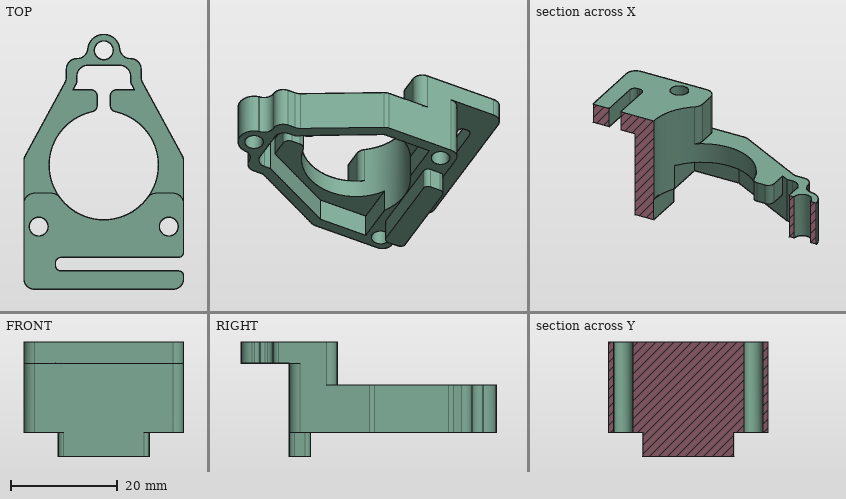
import cadquery as cq
import math

width = 29.95
length = 47.75
half_width = width / 2
corner_radius = 2.0
small_radius = 1.0

tab_height = 4.5
clamp_height = 9.0
neck_height = 4.0
plate_height = 4.0
clamp_bottom = tab_height
clamp_top = clamp_bottom + clamp_height
plate_bottom = clamp_top + neck_height

body_front = 9.0
tab_depth = 4.0
plate_back = 18.0
slant_front = 24.55
slant_back = 39.2
shoulder_y = 43.25

bore_radius = 10.2
bore_y = 23.25
ring_radius = 3.0
ring_y = length - ring_radius
shoulder_half_width = 7.0
hole_diameter = 3.5
gap_width = 2.4
lip_radius = 1.25
pocket_front = 37.4
pocket_back = 41.95
wall = 2.0
web_thickness = 4.0
cavity_front = 14.5

tab_width = 17.1
mount_hole_x = 12.2
mount_hole_y = 11.75
slot_left = -9.05
slot_front = 3.5
slot_width = 2.5


def box(x_min, x_max, y_min, y_max, z_min, height):
    """Box given by its X and Y limits, its bottom and its height."""
    return (
        cq.Workplane("XY", origin=(0, 0, z_min))
        .moveTo((x_min + x_max) / 2, (y_min + y_max) / 2)
        .rect(x_max - x_min, y_max - y_min)
        .extrude(height)
    )


def cylinder(x, y, radius, z_min, height):
    return cq.Workplane("XY", origin=(x, y, z_min)).circle(radius).extrude(height)


def round_edges(solid, points, radius):
    """Fillet the vertical edges that pass through the given XY points."""
    tolerance = 0.025
    bounds = solid.val().BoundingBox()
    edges = cq.Workplane("XY")
    for x, y in points:
        around_point = cq.selectors.BoxSelector(
            (x - tolerance, y - tolerance, bounds.zmin),
            (x + tolerance, y + tolerance, bounds.zmax),
        )
        edges = edges.add(solid.edges("|Z").edges(around_point))
    return solid.newObject(edges.vals()).fillet(radius)


def both_sides(x, y):
    return [(-x, y), (x, y)]


def bore_half_chord(y):
    """Half width of the bore at a given Y."""
    return math.sqrt(bore_radius**2 - (y - bore_y) ** 2)


def make_cavity():
    """Hollow that follows the clamp outline at a constant wall thickness."""
    slant_angle = math.atan2(half_width - shoulder_half_width, slant_back - slant_front)
    corner_shift = wall * math.tan(slant_angle / 2)
    cavity_half_width = half_width - wall
    back_half_width = shoulder_half_width - wall
    cavity = (
        cq.Workplane("XY", origin=(0, 0, clamp_bottom))
        .polyline([
            (-cavity_half_width, cavity_front),
            (cavity_half_width, cavity_front),
            (cavity_half_width, slant_front - corner_shift),
            (back_half_width, slant_back - corner_shift),
            (back_half_width, pocket_back),
            (-back_half_width, pocket_back),
            (-back_half_width, slant_back - corner_shift),
            (-cavity_half_width, slant_front - corner_shift),
        ])
        .close()
        .extrude(clamp_height)
    )
    cavity = round_edges(cavity, both_sides(back_half_width, pocket_back), corner_radius)

    web_bottom = clamp_top - web_thickness
    web = box(-half_width, half_width, cavity_front, pocket_front, web_bottom, web_thickness)
    return cavity.cut(web)


def make_clamp():
    """Tapered clamp body with an eyelet ring, a bore and a gap."""
    body = (
        cq.Workplane("XY", origin=(0, 0, clamp_bottom))
        .polyline([
            (-half_width, body_front),
            (half_width, body_front),
            (half_width, slant_front),
            (shoulder_half_width, slant_back),
            (shoulder_half_width, shoulder_y),
            (-shoulder_half_width, shoulder_y),
            (-shoulder_half_width, slant_back),
            (-half_width, slant_front),
        ])
        .close()
        .extrude(clamp_height)
    )
    rounded_corners = (
        both_sides(half_width, body_front)
        + both_sides(half_width, slant_front)
        + both_sides(shoulder_half_width, slant_back)
        + both_sides(shoulder_half_width, shoulder_y)
    )
    body = round_edges(body, rounded_corners, corner_radius)

    blend_y = shoulder_y + corner_radius
    blend_reach = ring_radius + corner_radius
    blend_x = math.sqrt(blend_reach**2 - (blend_y - ring_y) ** 2)
    shoulder = box(-blend_x, blend_x, pocket_back, blend_y, clamp_bottom, clamp_height)
    for side in (-1, 1):
        shoulder = shoulder.cut(cylinder(side * blend_x, blend_y, corner_radius, clamp_bottom, clamp_height))
    ring = cylinder(0, ring_y, ring_radius, clamp_bottom, clamp_height)
    body = body.union(shoulder).union(ring)

    half_gap = gap_width / 2
    gap = box(-half_gap, half_gap, bore_y, pocket_front, clamp_bottom, clamp_height)
    bore = cylinder(0, bore_y, bore_radius, clamp_bottom, clamp_height)
    body = body.cut(bore).cut(gap).cut(make_cavity())
    lip_y = bore_y + math.sqrt(bore_radius**2 - half_gap**2)
    lip_corners = both_sides(half_gap, lip_y) + both_sides(half_gap, pocket_front)
    body = round_edges(body, lip_corners, lip_radius)
    return body.cut(cylinder(0, ring_y, hole_diameter / 2, clamp_bottom, clamp_height))


def make_saddle(y_front, z_min, height):
    """Full-width block ending in the bore, with rounded corners."""
    saddle = box(-half_width, half_width, y_front, plate_back, z_min, height)
    saddle = saddle.cut(cylinder(0, bore_y, bore_radius, z_min, height))
    rounded_corners = (
        both_sides(half_width, y_front)
        + both_sides(half_width, plate_back)
        + both_sides(bore_half_chord(plate_back), plate_back)
    )
    return round_edges(saddle, rounded_corners, corner_radius)


def make_plate():
    """Top plate with a strap slot open on the +X side."""
    plate = make_saddle(0, plate_bottom, plate_height)
    slot_back = slot_front + slot_width
    slot = box(slot_left, half_width, slot_front, slot_back, plate_bottom, plate_height)
    plate = plate.cut(slot)
    slot_corners = [(x, y) for x in (slot_left, half_width) for y in (slot_front, slot_back)]
    return round_edges(plate, slot_corners, small_radius)


def make_tab():
    """Locating tab below the clamp."""
    tab = box(-tab_width / 2, tab_width / 2, body_front, body_front + tab_depth, 0, tab_height)
    return tab.edges("|Z").fillet(small_radius)


neck = make_saddle(body_front, clamp_top, neck_height)
result = make_clamp().union(neck).union(make_plate()).union(make_tab())

total_height = plate_bottom + plate_height
for hole_x in (-mount_hole_x, mount_hole_x):
    result = result.cut(cylinder(hole_x, mount_hole_y, hole_diameter / 2, 0, total_height))